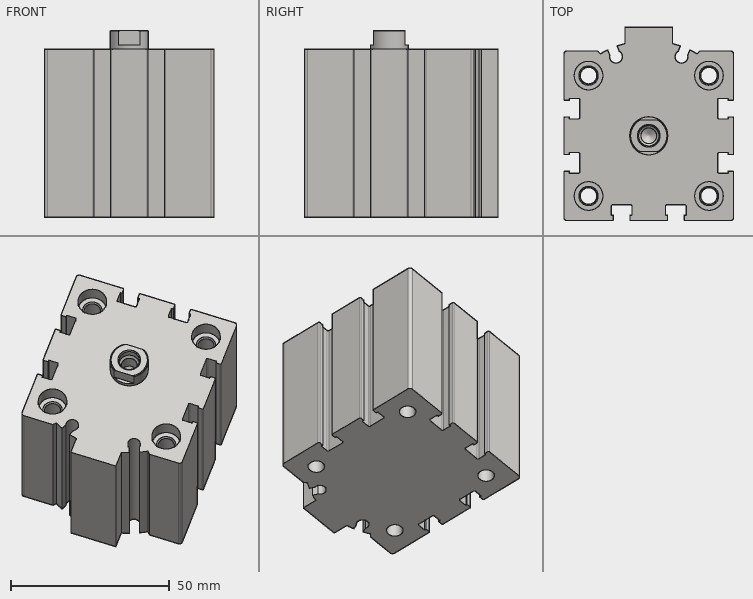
import cadquery as cq
import math

block_side = 53.5
block_height = 53.0
half_side = block_side / 2
corner_radius = 1.0

rib_width = 15.0
total_depth = 61.0
rib_end = total_depth - half_side
shoulder_radius = 30.0
shoulder_end_x = 15.25

groove_angle = 22.5
groove_center_radius = 26.95
groove_diameter = 3.95
groove_neck_width = 3.2

slot_offset = 8.55
slot_depth = 5.0
slot_width = 6.4
slot_mouth_width = 5.2
slot_lip = 1.75
slot_edge_radius = 0.35
slot_floor_radius = 0.35

hole_offset = 19.0
hole_diameter = 5.2
counterbore_diameter = 9.0
counterbore_depth = 5.7
hole_edge_diameter = 6.1

rod_diameter = 12.0
rod_protrusion = 6.0
rod_seat_depth = 12.2
rod_chamfer = 0.3
flat_spacing = 10.0
flat_length = 4.6
thread_diameter = 6.4
thread_entry_diameter = 7.15
thread_depth = 2.7
core_diameter = 4.95
core_depth = 8.55
drill_tip_angle = 118.0


def shoulder_height(x):
    """Y of the curved shoulder at a given X."""
    return math.sqrt(shoulder_radius**2 - x**2)


def make_block():
    """Square block with the rib and the two curved shoulders on its +Y side."""
    half_rib = rib_width / 2
    shoulder_mid_x = (half_rib + shoulder_end_x) / 2
    shoulder_end_y = shoulder_height(shoulder_end_x)
    face_end_x = shoulder_end_x + half_side - shoulder_end_y
    profile = (
        cq.Workplane("XY")
        .moveTo(-half_side, -half_side)
        .lineTo(half_side, -half_side)
        .lineTo(half_side, half_side)
        .lineTo(face_end_x, half_side)
        .lineTo(shoulder_end_x, shoulder_end_y)
        .threePointArc(
            (shoulder_mid_x, shoulder_height(shoulder_mid_x)),
            (half_rib, shoulder_height(half_rib)),
        )
        .lineTo(half_rib, rib_end)
        .lineTo(-half_rib, rib_end)
        .lineTo(-half_rib, shoulder_height(half_rib))
        .threePointArc(
            (-shoulder_mid_x, shoulder_height(shoulder_mid_x)),
            (-shoulder_end_x, shoulder_end_y),
        )
        .lineTo(-face_end_x, half_side)
        .lineTo(-half_side, half_side)
        .close()
    )
    block = profile.extrude(block_height)
    corners = [(x, y, 0) for x in (-half_side, half_side) for y in (-half_side, half_side)]
    for corner in corners:
        block = block.edges(cq.selectors.BoxSelector(
            (corner[0] - 0.05, corner[1] - 0.05, 0),
            (corner[0] + 0.05, corner[1] + 0.05, block_height),
        )).fillet(corner_radius)
    return block


def make_sensor_groove(angle):
    """Round groove with a narrower open neck, tilted about the rod axis from +Y."""
    neck_length = shoulder_radius - groove_center_radius + 0.6
    bore = (
        cq.Workplane("XY")
        .center(0, groove_center_radius)
        .circle(groove_diameter / 2)
        .extrude(block_height)
    )
    neck = (
        cq.Workplane("XY")
        .center(0, groove_center_radius + neck_length / 2)
        .rect(groove_neck_width, neck_length)
        .extrude(block_height)
    )
    return bore.union(neck).rotate((0, 0, 0), (0, 0, 1), angle)


def make_slot(offset, angle):
    """T-slot in the -Y face at X = offset, with rounded mouth and floor corners, turned about the rod axis."""
    half_mouth = slot_mouth_width / 2
    half_slot = slot_width / 2
    face_y = -half_side
    lip_y = face_y + slot_lip
    floor_y = face_y + slot_depth
    round_y = face_y + slot_edge_radius
    half_round = half_mouth + slot_edge_radius
    slot = (
        cq.Workplane("XY")
        .center(offset, 0)
        .moveTo(-half_round, face_y)
        .radiusArc((-half_mouth, round_y), -slot_edge_radius)
        .lineTo(-half_mouth, lip_y)
        .lineTo(-half_slot, lip_y)
        .lineTo(-half_slot, floor_y - slot_floor_radius)
        .radiusArc((-half_slot + slot_floor_radius, floor_y), slot_floor_radius)
        .lineTo(half_slot - slot_floor_radius, floor_y)
        .radiusArc((half_slot, floor_y - slot_floor_radius), slot_floor_radius)
        .lineTo(half_slot, lip_y)
        .lineTo(half_mouth, lip_y)
        .lineTo(half_mouth, round_y)
        .radiusArc((half_round, face_y), -slot_edge_radius)
        .close()
        .extrude(block_height)
    )
    return slot.rotate((0, 0, 0), (0, 0, 1), angle)


def make_mounting_hole(x, y):
    """Through hole, countersunk at the floor of its counterbore."""
    edge_depth = (hole_edge_diameter - hole_diameter) / 2
    floor_z = block_height - counterbore_depth
    section = (
        cq.Workplane("XZ")
        .polyline([
            (0, 0),
            (hole_diameter / 2, 0),
            (hole_diameter / 2, floor_z - edge_depth),
            (hole_edge_diameter / 2, floor_z),
            (counterbore_diameter / 2, floor_z),
            (counterbore_diameter / 2, block_height),
            (0, block_height),
        ])
        .close()
    )
    return section.revolve(360, (0, 0), (0, 1)).translate((x, y, 0))


def make_rod_seat():
    """Blind hole in the top of the block that holds the rod."""
    return (
        cq.Workplane("XY", origin=(0, 0, block_height - rod_seat_depth))
        .circle(rod_diameter / 2)
        .extrude(rod_seat_depth)
    )


def make_housing():
    housing = make_block()
    for angle in (-groove_angle, groove_angle):
        housing = housing.cut(make_sensor_groove(angle))
    for face_angle in (-90, 0, 90):
        for offset in (-slot_offset, slot_offset):
            housing = housing.cut(make_slot(offset, face_angle))
    for x in (-hole_offset, hole_offset):
        for y in (-hole_offset, hole_offset):
            housing = housing.cut(make_mounting_hole(x, y))
    return housing.cut(make_rod_seat())


def make_threaded_hole(top_z):
    """Chamfered thread bore that narrows to a drilled core with a conical bottom."""
    thread_radius = thread_diameter / 2
    entry_radius = thread_entry_diameter / 2
    core_radius = core_diameter / 2
    entry_depth = entry_radius - thread_radius
    runout = thread_radius - core_radius
    tip_depth = core_radius / math.tan(math.radians(drill_tip_angle / 2))
    section = (
        cq.Workplane("XZ", origin=(0, 0, top_z))
        .polyline([
            (0, 0),
            (entry_radius, 0),
            (thread_radius, -entry_depth),
            (thread_radius, -thread_depth),
            (core_radius, -thread_depth - runout),
            (core_radius, -core_depth),
            (0, -core_depth - tip_depth),
        ])
        .close()
    )
    return section.revolve(360, (0, 0), (0, 1))


def make_rod():
    top_z = block_height + rod_protrusion
    rod = (
        cq.Workplane("XY", origin=(0, 0, block_height - rod_seat_depth))
        .circle(rod_diameter / 2)
        .extrude(rod_seat_depth + rod_protrusion)
        .faces(">Z")
        .chamfer(rod_chamfer)
    )
    flat_cut_depth = rod_diameter / 2
    for side in (-1, 1):
        flat_cut = cq.Workplane("XY").box(rod_diameter, flat_cut_depth, flat_length).translate(
            (0, side * (flat_spacing + flat_cut_depth) / 2, top_z - flat_length / 2)
        )
        rod = rod.cut(flat_cut)
    return rod.cut(make_threaded_hole(top_z))


housing = make_housing()
rod = make_rod()
result = cq.Compound.makeCompound([housing.val(), rod.val()])